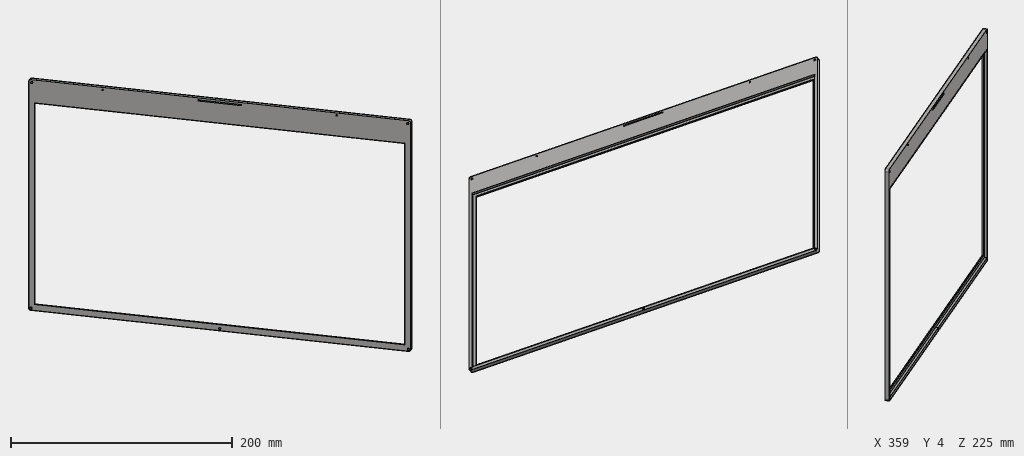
import cadquery as cq

width = 359.0
thickness = 4.0
height = 225.0
corner_radius = 2.0

side_border = 5.7
top_border = 22.5
bottom_border = 6.0

rear_step_margin = 3.0
lip_thickness = 1.5

top_corner_hole_diameter = 1.8
top_corner_hole_inset = 3.0
bottom_hole_diameter = 1.8
bottom_hole_inset = 2.0
pin_hole_diameter = 1.0
pin_hole_spacing = 219.7
slot_length = 40.5
slot_height = 1.0
top_row_inset = 2.5

half_width = width / 2
half_height = height / 2


def front_sketch():
    """Work plane on the front face, with local axes along X and Z."""
    return cq.Workplane("XZ", origin=(0, -thickness / 2, 0))


def drill(body, points, diameter):
    """Cut round holes straight through the plate."""
    holes = front_sketch().pushPoints(points).circle(diameter / 2).extrude(-thickness)
    return body.cut(holes)


def window_block(margin):
    """Block as deep as the plate, larger than the window by a margin on every side."""
    return (
        front_sketch()
        .center(0, (bottom_border - top_border) / 2)
        .rect(
            width - 2 * side_border + 2 * margin,
            height - top_border - bottom_border + 2 * margin,
        )
        .extrude(-thickness)
    )


def make_frame():
    """Rounded plate with a window, stepped at the back to leave a thin front lip."""
    plate = cq.Workplane("XY").box(width, thickness, height)
    plate = plate.edges("|Y").fillet(corner_radius)
    rear_step = window_block(rear_step_margin).translate((0, lip_thickness, 0))
    return plate.cut(window_block(0)).cut(rear_step)


def cut_slot(body):
    """Cut the long narrow slot in the middle of the top border."""
    slot = (
        front_sketch()
        .center(0, half_height - top_row_inset)
        .slot2D(slot_length, slot_height)
        .extrude(-thickness)
    )
    return body.cut(slot)


top_hole_x = half_width - top_corner_hole_inset
top_hole_z = half_height - top_corner_hole_inset
bottom_hole_x = half_width - bottom_hole_inset
bottom_hole_z = -half_height + bottom_hole_inset
pin_hole_x = pin_hole_spacing / 2
pin_hole_z = half_height - top_row_inset

result = make_frame()
result = cut_slot(result)
result = drill(result, [(x, top_hole_z) for x in (-top_hole_x, top_hole_x)], top_corner_hole_diameter)
result = drill(result, [(x, bottom_hole_z) for x in (-bottom_hole_x, 0, bottom_hole_x)], bottom_hole_diameter)
result = drill(result, [(x, pin_hole_z) for x in (-pin_hole_x, pin_hole_x)], pin_hole_diameter)